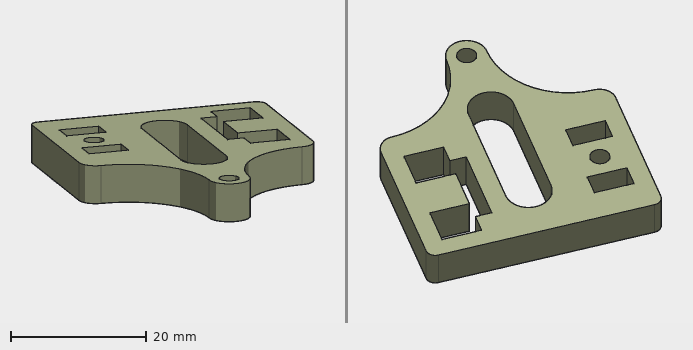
import cadquery as cq
import math

length = 41.1
width = 36.5
thickness = 5.85
left_corner_radius = 1.45

tab_radius = 3.13
blend_radius = 12.6
hole_diameter = 2.95
tab_x = length - tab_radius
blend_y = tab_radius + blend_radius
shoulder_x = tab_x - blend_radius
right_corner_radius = width / 2 - blend_y

slot_length = 24.8
slot_width = 7.05
slot_x = 17.48

window_width = 3.4
window_height = 6.15
window_spacing = 10.3
window_y = -12.2
window_x = 11.95

u_x = 11.95
u_width = 18.1
tongue_width = 6.55
strip_width = 12.17
strip_height = 2.55
u_top = -window_y + window_height / 2
u_step = u_top - window_height


def arc_middle(center_x, center_y, radius, angle):
    """Point on a circle at the given angle in degrees."""
    turn = math.radians(angle)
    return (center_x + radius * math.cos(turn), center_y + radius * math.sin(turn))


def box_cutter(center_x, center_y, size_x, size_y):
    """Rectangular block spanning the plate thickness."""
    return cq.Workplane("XY").center(center_x, center_y).rect(size_x, size_y).extrude(thickness)


def make_plate():
    half = width / 2
    corner_x = shoulder_x - right_corner_radius
    upper_corner = arc_middle(corner_x, blend_y, right_corner_radius, 45)
    upper_blend = arc_middle(tab_x, blend_y, blend_radius, 225)
    lower_blend = arc_middle(tab_x, -blend_y, blend_radius, 135)
    lower_corner = arc_middle(corner_x, -blend_y, right_corner_radius, -45)
    plate = (
        cq.Workplane("XY")
        .moveTo(0, -half)
        .lineTo(0, half)
        .lineTo(corner_x, half)
        .threePointArc(upper_corner, (shoulder_x, blend_y))
        .threePointArc(upper_blend, (tab_x, tab_radius))
        .threePointArc((length, 0), (tab_x, -tab_radius))
        .threePointArc(lower_blend, (shoulder_x, -blend_y))
        .threePointArc(lower_corner, (corner_x, -half))
        .close()
        .extrude(thickness)
    )
    return plate.edges("|Z and <X").fillet(left_corner_radius)


def make_u_opening():
    strip = box_cutter(u_x, u_step - strip_height / 2, strip_width, strip_height)
    leg_width = (u_width - tongue_width) / 2
    leg_offset = (tongue_width + leg_width) / 2
    for side in (-1, 1):
        leg = box_cutter(u_x + side * leg_offset, u_top - window_height / 2, leg_width, window_height)
        strip = strip.union(leg)
    return strip


result = make_plate().cut(make_u_opening())

for side in (-1, 1):
    result = result.cut(
        box_cutter(window_x + side * window_spacing / 2, window_y, window_width, window_height)
    )

slot = cq.Workplane("XY").center(slot_x, 0).slot2D(slot_length, slot_width).extrude(thickness)
result = result.cut(slot)

holes = (
    cq.Workplane("XY")
    .pushPoints([(tab_x, 0), (window_x, window_y)])
    .circle(hole_diameter / 2)
    .extrude(thickness)
)
result = result.cut(holes)